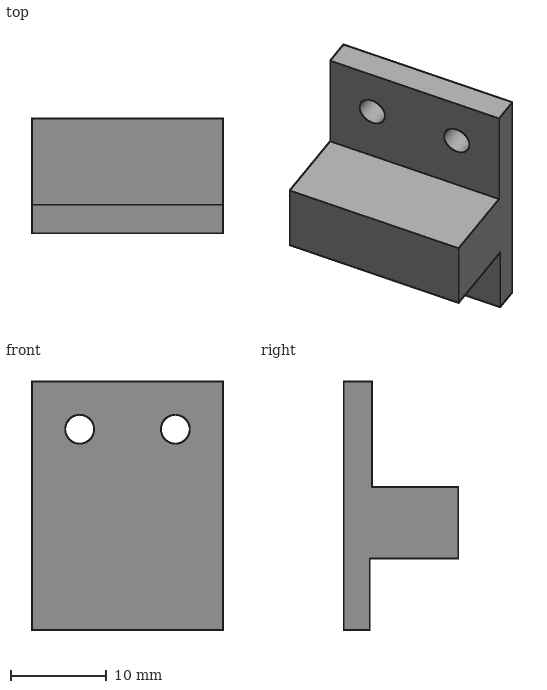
import cadquery as cq

width = 20.0
depth = 12.0
height = 26.0

upper_thickness = 3.0
lower_thickness = 2.75

block_bottom = 7.5
block_height = 7.5
block_top = block_bottom + block_height

hole_diameter = 3.0
hole_spacing = width / 2
hole_drop = width / 4
hole_height = height - hole_drop


def make_body():
    """Side profile in the YZ plane, extruded across the width."""
    profile = [
        (0, 0),
        (lower_thickness, 0),
        (lower_thickness, block_bottom),
        (depth, block_bottom),
        (depth, block_top),
        (upper_thickness, block_top),
        (upper_thickness, height),
        (0, height),
    ]
    return cq.Workplane("YZ").polyline(profile).close().extrude(width / 2, both=True)


def make_holes():
    """Two cylinders running through the upper plate along Y."""
    return (
        cq.Workplane("XZ")
        .pushPoints([(side * hole_spacing / 2, hole_height) for side in (-1, 1)])
        .circle(hole_diameter / 2)
        .extrude(-upper_thickness)
    )


result = make_body().cut(make_holes())